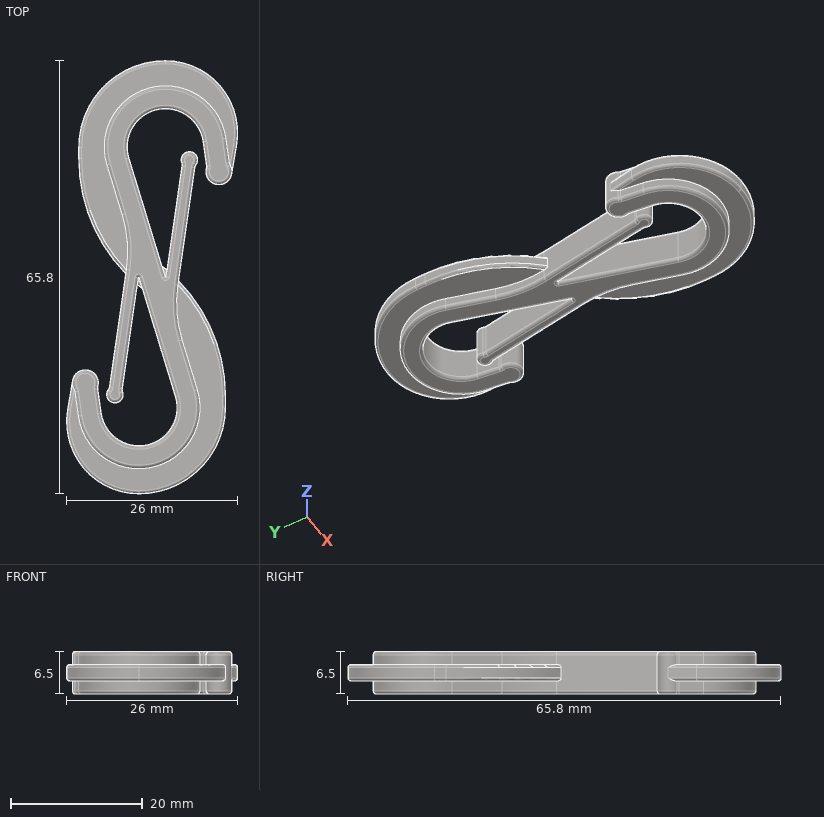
import cadquery as cq
import math


overall_width = 26.0
overall_length = 65.8
rail_height = 6.5
plate_height = 2.5
rail_fillet = 0.5
plate_fillet = 0.45

plate_front_radius = 11.0
plate_back_radius = 13.15
plate_flank_length = 1.7
plate_tail_radius = 25.0
plate_tail_angle = 53.0

rail_width = 3.5
eye_radius = 5.8
eye_center = (overall_width / 2 - plate_front_radius, 19.8)
stem_angle = 17.0
nose_angle = 8.0
nose_length = 4.9
nose_radius = 2.0
stem_blend_radius = 19.1

gate_tip = (5.65, 17.8)
gate_tip_radius = 1.25
gate_width = 2.0
gate_angle = 8.2

bulb_blend_radius = 1.0
notch_radius = 0.05


def polar(center, radius, angle):
    """Point at a radius and angle (degrees) from a center."""
    a = math.radians(angle)
    return (center[0] + radius * math.cos(a), center[1] + radius * math.sin(a))


def half_turn(point):
    """Matching point on the opposite hook."""
    return (-point[0], -point[1])


def between(center, other, distance):
    """Point at a distance from center, towards other."""
    gap = math.dist(center, other)
    return tuple(c + (o - c) * distance / gap for c, o in zip(center, other))


def cross_lines(point_a, angle_a, point_b, angle_b):
    """Crossing of two lines, each given by a point and a direction angle."""
    ax, ay = polar((0, 0), 1, angle_a)
    bx, by = polar((0, 0), 1, angle_b)
    dx, dy = point_b[0] - point_a[0], point_b[1] - point_a[1]
    along = (dx * by - dy * bx) / (ax * by - ay * bx)
    return (point_a[0] + along * ax, point_a[1] + along * ay)


def bulb_points(tip, tip_radius, half_width, heading):
    """Blend points where a straight arm, heading to a round tip, swells into it.

    Listed for the arm's right side then its left side, each as
    (end of straight, middle of blend, start of tip circle).
    """
    reach = math.sqrt((tip_radius + bulb_blend_radius) ** 2 - (half_width + bulb_blend_radius) ** 2)
    neck = polar(tip, -reach, heading)
    sides = []
    for side in (-90, 90):
        blend_center = polar(neck, half_width + bulb_blend_radius, heading + side)
        line_end = polar(neck, half_width, heading + side)
        circle_start = between(tip, blend_center, tip_radius)
        chord_middle = tuple((p + q) / 2 for p, q in zip(line_end, circle_start))
        sides.append((line_end, between(blend_center, chord_middle, bulb_blend_radius), circle_start))
    return sides


def fillet_corner(corner, heading_in, heading_out, radius):
    """Start, middle and end of the arc rounding a corner between two headings."""
    turn = (heading_out - heading_in + 180) % 360 - 180
    setback = radius * math.tan(math.radians(abs(turn) / 2))
    start = polar(corner, -setback, heading_in)
    end = polar(corner, setback, heading_out)
    center = polar(start, radius, heading_in + math.copysign(90, turn))
    return start, between(center, corner, radius), end


stem_heading = stem_angle - 90
nose_heading = nose_angle - 90
gate_heading = 90 - gate_angle
stem_side = 180 + stem_angle
back_radius = eye_radius + rail_width
mid_radius = eye_radius + rail_width / 2

nose_start = polar(eye_center, mid_radius, nose_angle)
nose_tip = polar(nose_start, nose_length, nose_heading)
stem_back = polar(eye_center, back_radius, stem_side)
stem_inner = polar(eye_center, eye_radius, stem_side)
gate_inner = polar(gate_tip, gate_width / 2, gate_heading + 90)
gate_outer = polar(gate_tip, gate_width / 2, gate_heading - 90)


def rail_side(back_blend):
    """Outline steps of one hook and its gate, from its back blend to the other hook's.

    Each step is a kind followed by its points: (middle, end) for an arc, (end) for a line.
    """
    nose_left, nose_right = reversed(bulb_points(nose_tip, nose_radius, rail_width / 2, nose_heading))
    gate_right, gate_left = bulb_points(gate_tip, gate_tip_radius, gate_width / 2, gate_heading)
    notch = fillet_corner(
        cross_lines(stem_inner, stem_heading, gate_inner, gate_heading),
        stem_heading, gate_heading, notch_radius)
    return [
        ("arc", back_blend[1], back_blend[2]),
        ("line", stem_back),
        ("arc", polar(eye_center, back_radius, 90), polar(eye_center, back_radius, nose_angle)),
        ("line", nose_left[0]),
        ("arc", nose_left[1], nose_left[2]),
        ("arc", polar(nose_tip, nose_radius, nose_heading), nose_right[2]),
        ("arc", nose_right[1], nose_right[0]),
        ("line", polar(eye_center, eye_radius, nose_angle)),
        ("arc", polar(eye_center, eye_radius, 90), stem_inner),
        ("line", notch[0]),
        ("arc", notch[1], notch[2]),
        ("line", gate_left[0]),
        ("arc", gate_left[1], gate_left[2]),
        ("arc", polar(gate_tip, gate_tip_radius, gate_heading), gate_right[2]),
        ("arc", gate_right[1], gate_right[0]),
        ("line", half_turn(back_blend[0])),
    ]


def make_rail():
    """Both hooks and gates as one closed outline, rounded on the top and bottom rims."""
    back_corner = cross_lines(half_turn(gate_outer), gate_heading, stem_back, stem_heading)
    back_blend = fillet_corner(back_corner, gate_heading, stem_heading + 180, stem_blend_radius)
    outline = cq.Workplane("XY").workplane(offset=-rail_height / 2).moveTo(*back_blend[0])
    path = rail_side(back_blend)
    turned = [(step[0], *map(half_turn, step[1:])) for step in path]
    for kind, *points in path + turned:
        if kind == "arc":
            outline = outline.threePointArc(*points)
        else:
            outline = outline.lineTo(*points[0])
    rail = outline.close().extrude(rail_height)
    return rail.faces("|Z").edges().fillet(rail_fillet)


def make_plate():
    """Crescent behind one hook; its inner edge runs hidden along the middle of the rail."""
    top = (eye_center[0], overall_length / 2)
    front_center = (top[0], top[1] - plate_front_radius)
    back_center = (top[0], top[1] - plate_back_radius)
    flank_top = polar(back_center, plate_back_radius, 180)
    flank_bottom = (flank_top[0], flank_top[1] - plate_flank_length)
    tail_center = (flank_bottom[0] + plate_tail_radius, flank_bottom[1])
    tail_middle = polar(tail_center, plate_tail_radius, 180 + plate_tail_angle / 2)
    tail_end = polar(tail_center, plate_tail_radius, 180 + plate_tail_angle)

    dx, dy = nose_tip[0] - front_center[0], nose_tip[1] - front_center[1]
    spread = math.degrees(math.acos((plate_front_radius - nose_radius) / math.hypot(dx, dy)))
    tangent_angle = math.degrees(math.atan2(dy, dx)) + spread

    plate = (
        cq.Workplane("XY").workplane(offset=-plate_height / 2)
        .moveTo(*tail_end)
        .threePointArc(tail_middle, flank_bottom)
        .lineTo(*flank_top)
        .threePointArc(polar(back_center, plate_back_radius, 135), top)
        .threePointArc(polar(front_center, plate_front_radius, 45),
                       polar(front_center, plate_front_radius, tangent_angle))
        .lineTo(*polar(nose_tip, nose_radius, tangent_angle))
        .lineTo(*nose_tip)
        .lineTo(*nose_start)
        .threePointArc(polar(eye_center, mid_radius, 90), polar(eye_center, mid_radius, stem_side))
        .close()
        .extrude(plate_height)
    )
    return plate.faces("|Z").edges().fillet(plate_fillet)


plate = make_plate()
result = make_rail().union(plate).union(plate.rotate((0, 0, 0), (0, 0, 1), 180))